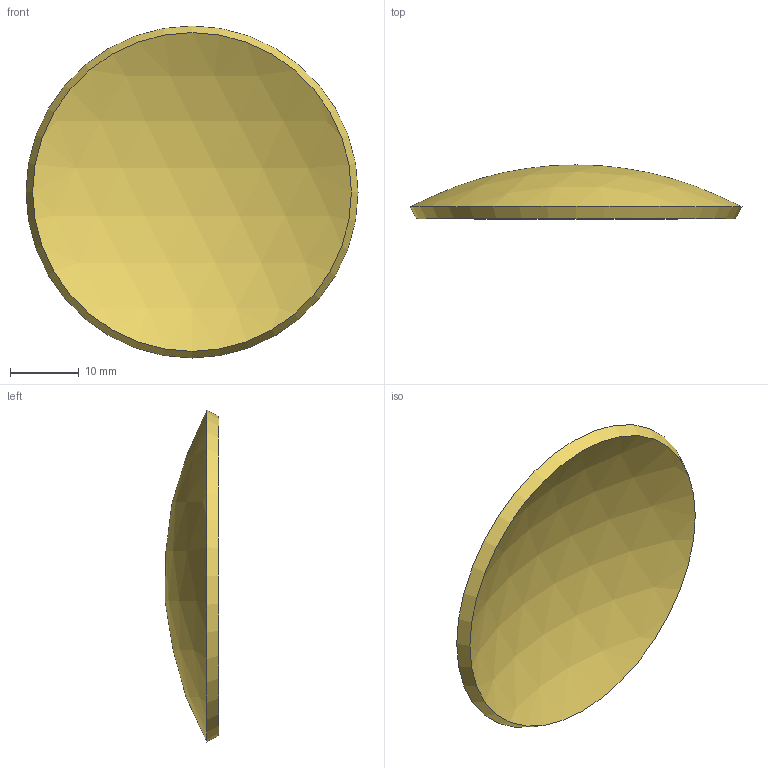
import cadquery as cq
import math

RIM_DIAMETER = 48.3
OUTER_RADIUS = 50.0
WALL = 2.0

INNER_RADIUS = OUTER_RADIUS - WALL
RIM_ANGLE = math.asin(RIM_DIAMETER / 2 / OUTER_RADIUS)

CENTER_Y = -INNER_RADIUS * math.cos(RIM_ANGLE)

CONE_HEIGHT = OUTER_RADIUS + 5 * WALL


def spherical_shell():
    """Hollow ball of constant wall, centered on the origin."""
    ball = cq.Workplane("XY").sphere(OUTER_RADIUS)
    hollow = cq.Workplane("XY").sphere(INNER_RADIUS)
    return ball.cut(hollow)


def rim_cone():
    """Cone along +Y with its apex at the sphere center, so its side is normal to both faces."""
    base_radius = CONE_HEIGHT * math.tan(RIM_ANGLE)
    along_y = cq.Vector(0, 1, 0)
    cone = cq.Solid.makeCone(0, base_radius, CONE_HEIGHT, dir=along_y)
    return cq.Workplane(cone)


domed_cap = spherical_shell().intersect(rim_cone())
result = domed_cap.solids().translate((0, CENTER_Y, 0))